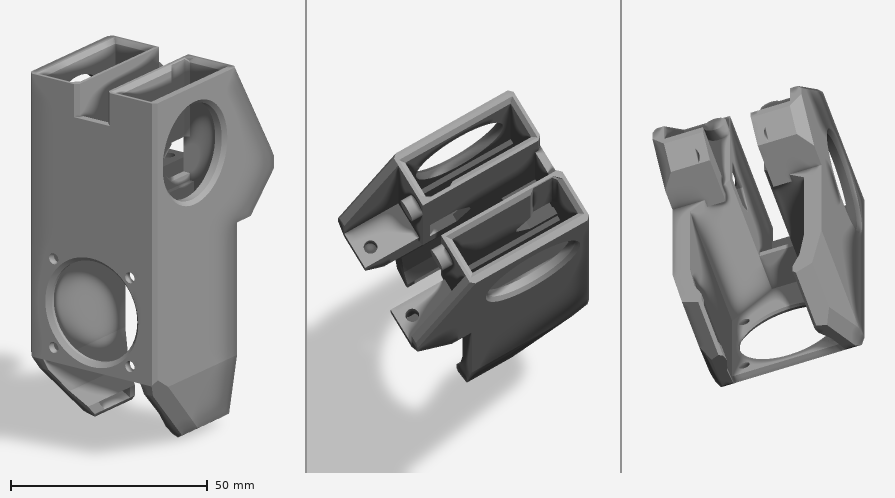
import cadquery as cq
import math

HEIGHT = 97.05
HALF_WIDTH = 20.0
DEPTH = 51.0
EDGE = 1.1

COLUMN_BACK = 35.1
COLUMN_MID = COLUMN_BACK / 2
GAP_HALF = 4.6
THIN_WALL = 2.0
OUTER_WALL = 3.1
BAY_FRONT = THIN_WALL
BAY_BACK = COLUMN_BACK - THIN_WALL
BAY_OUTER = -HALF_WIDTH + OUTER_WALL
BAY_INNER = -GAP_HALF - THIN_WALL
SEAT_Z = 64.1
SEAT_LEDGE = 1.4
MOUTH = 1.2

DUCT_WALL = 1.0
ARM_INNER = -15.2
BEND_Z = 19.1
OUTER_TOE = (-17.5, 2.7)
BOTTOM_TOE = (-13.1, 0.0)
TIP_X = -12.2
TIP_LOW_Z = 1.3
TIP_HIGH_Z = 4.1
KNEE = (-14.1, 9.5)
RAMP_TOP_Z = 60.8
RAMP_OFFSET = RAMP_TOP_Z - (BAY_INNER - SEAT_LEDGE)
RAMP_THICKNESS = 2.4
PLATE_BOTTOM = 20.6
NOSE = (1.9, 17.2)
UNDERCUT_SUM = NOSE[0] + NOSE[1]
NOSE_BEVEL_X = -17.9
BEVEL_HIGH_Y = 5.5
BEVEL_LOW_Y = 21.7
DUCT_SETBACK = 4.4

SHOULDER_Z = 70.1
WING_LOW_Z = 60.5
WING_BOTTOM = 54.9
WING_INNER = -6.4
WING_FLOOR_Z = 63.1
WING_BEVEL_RISE = 4.6
WING_EDGE = 1.0
MOUNT_X, MOUNT_Y = -10.5, 47.1
MOUNT_DIAMETER = 3.5
MOUNT_OPEN_X = -9.4
MOUNT_FLOOR_Z = 59.2
MOUNT_FLOOR_SLOPE = 0.5

INLET_DIAMETER, INLET_MOUTH = 25.7, 27.8
INLET_Y, INLET_Z = 17.1, 79.0
FAN_DIAMETER, FAN_MOUTH = 27.0, 29.3
FAN_Z = 36.5
SCREW_DIAMETER = 2.9
SCREW_PITCH = 24.0
BOSS_DIAMETER = 6.0
BOSS_LENGTH = 3.1
BOSS_Z = 88.7

NOTCH_BOTTOM = 88.1
TRAY_BACK = 11.9

RECESS_DEPTH = 1.0
RECESS_BOTTOM = 75.9
RECESS_BACK = 10.0
RECESS_BEVEL = 1.4
WINDOW_BACK = 14.1
WINDOW_HIGH_Z, WINDOW_LOW_Z = 72.0, 70.1
WINDOW_BOTTOM = 66.0
CORNER_CUT = 1.7


def box(x0, x1, y0, y1, z0, z1):
    """Box between two limits along each axis."""
    return cq.Workplane("XY").box(x1 - x0, y1 - y0, z1 - z0, centered=False).translate((x0, y0, z0))


def along_y(points, y0, y1):
    """Extrude an (x, z) outline from y0 to y1."""
    return cq.Workplane("XZ", origin=(0, y0, 0)).polyline(points).close().extrude(y0 - y1)


def along_x(points, x0, x1):
    """Extrude a (y, z) outline from x0 to x1."""
    return cq.Workplane("YZ", origin=(x0, 0, 0)).polyline(points).close().extrude(x1 - x0)


def along_z(points, z0, z1):
    """Extrude an (x, y) outline from z0 to z1."""
    return cq.Workplane("XY", origin=(0, 0, z0)).polyline(points).close().extrude(z1 - z0)


def half_space(p, q, r):
    """Large block lying on the side of plane p-q-r that faces away from x = 0."""
    p, q, r = cq.Vector(*p), cq.Vector(*q), cq.Vector(*r)
    normal = (q - p).cross(r - p)
    if normal.x > 0:
        normal = normal * -1
    size = 2 * HEIGHT
    return cq.Workplane(cq.Plane(p, normal=normal)).rect(size, size).extrude(size)


def flared_hole(face, diameter, mouth, depth):
    """Hole of signed depth from a face, with a 45 degree flare at that face."""
    flare = math.copysign((mouth - diameter) / 2, depth)
    hole = face.circle(diameter / 2).extrude(depth)
    cone = face.circle(mouth / 2).workplane(offset=flare).circle(diameter / 2).loft()
    return hole.union(cone)


def column_and_arm():
    """Solid left column, narrowing into the arm that leans inward at the bottom."""
    under_offset = RAMP_OFFSET - RAMP_THICKNESS
    section = [
        (-HALF_WIDTH, HEIGHT),
        (-GAP_HALF, HEIGHT),
        (-GAP_HALF, under_offset - GAP_HALF),
        (ARM_INNER, under_offset + ARM_INNER),
        (ARM_INNER, BEND_Z),
        KNEE,
        (TIP_X, TIP_HIGH_Z),
        (TIP_X, TIP_LOW_Z),
        BOTTOM_TOE,
        OUTER_TOE,
        (-HALF_WIDTH, BEND_Z),
    ]
    profile = [
        (0, HEIGHT),
        (COLUMN_BACK, HEIGHT),
        (COLUMN_BACK, 0),
        (UNDERCUT_SUM, 0),
        NOSE,
        (0, PLATE_BOTTOM),
    ]
    body = along_y(section, 0, COLUMN_BACK).intersect(along_x(profile, -HALF_WIDTH, 0))
    bevel = half_space(
        (-HALF_WIDTH, BEVEL_HIGH_Y, BEND_Z),
        (NOSE_BEVEL_X, *NOSE),
        (OUTER_TOE[0], BEVEL_LOW_Y, OUTER_TOE[1]),
    )
    outer_edge = [(-HALF_WIDTH, 0), (-HALF_WIDTH + EDGE, 0), (-HALF_WIDTH, EDGE)]
    return body.cut(bevel).cut(along_z(outer_edge, 0, HEIGHT))


def wing():
    """Left rear wing: a sloping side plate and a drilled floor."""
    profile = [
        (BAY_BACK, HEIGHT),
        (COLUMN_BACK, HEIGHT),
        (DEPTH, SHOULDER_Z),
        (DEPTH, WING_LOW_Z),
        (DEPTH - WING_LOW_Z + WING_BOTTOM, WING_BOTTOM),
        (BAY_BACK, WING_BOTTOM),
    ]
    side_plate = along_x(profile, -HALF_WIDTH, BAY_OUTER)
    floor = along_x(profile, BAY_OUTER, WING_INNER)
    floor = floor.intersect(box(BAY_OUTER, WING_INNER, BAY_BACK, DEPTH, WING_BOTTOM, WING_FLOOR_Z))
    bevel_z = WING_LOW_Z + WING_BEVEL_RISE
    bevel = half_space(
        (-HALF_WIDTH, DEPTH, bevel_z),
        (-HALF_WIDTH, DEPTH - WING_BEVEL_RISE, bevel_z - WING_BEVEL_RISE),
        (BAY_OUTER, DEPTH, WING_LOW_Z),
    )
    return side_plate.union(floor).cut(bevel).cut(mounting_hole())


def body_with_wing():
    """Left column, arm and wing, with the wing's sloping outer edge chamfered."""
    body = column_and_arm().union(wing()).clean()
    slope_middle = (-HALF_WIDTH, (COLUMN_BACK + DEPTH) / 2, (HEIGHT + SHOULDER_Z) / 2)
    return body.edges(cq.selectors.NearestToPointSelector(slope_middle)).chamfer(WING_EDGE)


def mounting_hole():
    """Vertical hole whose floor slopes inward and opens through only at its inner side."""
    radius = MOUNT_DIAMETER / 2
    hole = cq.Workplane("XY", origin=(MOUNT_X, MOUNT_Y, 0)).circle(radius).extrude(WING_FLOOR_Z)
    floor_outline = [
        (BAY_OUTER, 0),
        (MOUNT_OPEN_X, 0),
        (MOUNT_OPEN_X, MOUNT_FLOOR_Z),
        (BAY_OUTER, MOUNT_FLOOR_Z + MOUNT_FLOOR_SLOPE * (MOUNT_OPEN_X - BAY_OUTER)),
    ]
    return hole.cut(along_y(floor_outline, COLUMN_BACK, DEPTH))


def blower_bay():
    """Open-topped bay for the left blower, without the flare at its mouth."""
    return box(BAY_OUTER, BAY_INNER, BAY_FRONT, BAY_BACK, SEAT_Z, HEIGHT)


def bay_mouth():
    """45 degree flare around the bay opening, cut short at the recess corner."""
    centre = ((BAY_OUTER + BAY_INNER) / 2, (BAY_FRONT + BAY_BACK) / 2, HEIGHT - MOUTH)
    width = BAY_INNER - BAY_OUTER
    length = BAY_BACK - BAY_FRONT
    flare = (
        cq.Workplane("XY", origin=centre)
        .rect(width, length)
        .workplane(offset=MOUTH)
        .rect(width + 2 * MOUTH, length + 2 * MOUTH)
        .loft()
    )
    x, y = BAY_INNER + MOUTH, BAY_FRONT - MOUTH
    corner = [(x, y), (x - CORNER_CUT, y), (x, y + CORNER_CUT)]
    return flare.cut(along_z(corner, SEAT_Z, HEIGHT))


def duct():
    """Air passage from the bay seat, down the 45 degree ramp and the arm, to the inner tip."""
    outer = -HALF_WIDTH + DUCT_WALL
    inner = ARM_INNER - DUCT_WALL
    throat_outer = BAY_OUTER + SEAT_LEDGE
    throat_inner = BAY_INNER - SEAT_LEDGE
    section = [
        (throat_outer, SEAT_Z),
        (throat_inner, SEAT_Z),
        (throat_inner, RAMP_TOP_Z),
        (inner, RAMP_OFFSET + inner),
        (inner, BEND_Z),
        (KNEE[0] - DUCT_WALL, KNEE[1]),
        (TIP_X, TIP_HIGH_Z),
        (TIP_X, TIP_LOW_Z),
        (OUTER_TOE[0] + DUCT_WALL, OUTER_TOE[1] + DUCT_WALL),
        (outer, BEND_Z),
        (outer, RAMP_TOP_Z - (throat_outer - outer)),
        (throat_outer, RAMP_TOP_Z),
    ]
    front_low_y = UNDERCUT_SUM + DUCT_SETBACK
    profile = [
        (BAY_FRONT, SEAT_Z),
        (BAY_BACK, SEAT_Z),
        (BAY_BACK, 0),
        (front_low_y, 0),
        (BAY_FRONT, front_low_y - BAY_FRONT),
    ]
    return along_y(section, BAY_FRONT, BAY_BACK).intersect(along_x(profile, -HALF_WIDTH, 0))


def inlet_hole():
    """Flared blower inlet through the outer wall of the left column."""
    face = cq.Workplane("YZ", origin=(-HALF_WIDTH, INLET_Y, INLET_Z))
    return flared_hole(face, INLET_DIAMETER, INLET_MOUTH, OUTER_WALL)


def boss():
    """Round boss on the back of the column, level with its gap face."""
    centre = (-GAP_HALF - BOSS_DIAMETER / 2, BAY_BACK, BOSS_Z)
    length = THIN_WALL + BOSS_LENGTH
    return cq.Workplane("XZ", origin=centre).circle(BOSS_DIAMETER / 2).extrude(-length)


def cable_passage():
    """Recess in the gap-side bay wall, opening below into a window to the gap."""
    depth_x = BAY_INNER + RECESS_DEPTH
    recess = [
        (BAY_INNER, BAY_FRONT),
        (depth_x, BAY_FRONT + RECESS_DEPTH),
        (depth_x, RECESS_BACK - RECESS_BEVEL),
        (BAY_INNER, RECESS_BACK),
    ]
    window = [
        (BAY_FRONT, RECESS_BOTTOM),
        (RECESS_BACK, RECESS_BOTTOM),
        (WINDOW_BACK, WINDOW_HIGH_Z),
        (WINDOW_BACK, WINDOW_LOW_Z),
        (WINDOW_BACK - WINDOW_LOW_Z + WINDOW_BOTTOM, WINDOW_BOTTOM),
        (BAY_FRONT, WINDOW_BOTTOM),
    ]
    return along_z(recess, RECESS_BOTTOM, HEIGHT).union(along_x(window, BAY_INNER, -GAP_HALF))


def bay_opening():
    """Bay, flared mouth and cable passage of the left column."""
    return blower_bay().union(bay_mouth()).union(cable_passage())


def turned(shape):
    """Half turn about the vertical axis midway between the columns."""
    return shape.rotate((0, COLUMN_MID, 0), (0, COLUMN_MID, 1), 180)


def with_mirror(shape):
    """Shape together with its mirror image across x = 0."""
    return shape.union(shape.mirror("YZ"))


def front_plate():
    """Plate joining both sides below the notch, with the flared fan hole."""
    plate = box(ARM_INNER, -ARM_INNER, 0, THIN_WALL, PLATE_BOTTOM, NOTCH_BOTTOM)
    fan_face = cq.Workplane("XZ", origin=(0, 0, FAN_Z))
    return plate.cut(flared_hole(fan_face, FAN_DIAMETER, FAN_MOUTH, -THIN_WALL))


def screw_holes():
    """Four fan screws on a square around the fan hole."""
    face = cq.Workplane("XZ", origin=(0, 0, FAN_Z)).rect(SCREW_PITCH, SCREW_PITCH, forConstruction=True)
    return face.vertices().circle(SCREW_DIAMETER / 2).extrude(-THIN_WALL)


def notch_bevels():
    """Bevels on the two front edges of the notch."""
    edge = [(-GAP_HALF, 0), (-GAP_HALF - EDGE, 0), (-GAP_HALF, EDGE)]
    return with_mirror(along_z(edge, NOTCH_BOTTOM, HEIGHT))


left = body_with_wing().union(boss()).cut(duct()).cut(inlet_hole())
tray = box(-GAP_HALF, GAP_HALF, 0, TRAY_BACK, SEAT_Z - THIN_WALL, SEAT_Z)

result = (
    with_mirror(left)
    .union(front_plate())
    .union(tray)
    .cut(bay_opening())
    .cut(turned(bay_opening()))
    .cut(notch_bevels())
    .cut(screw_holes())
)